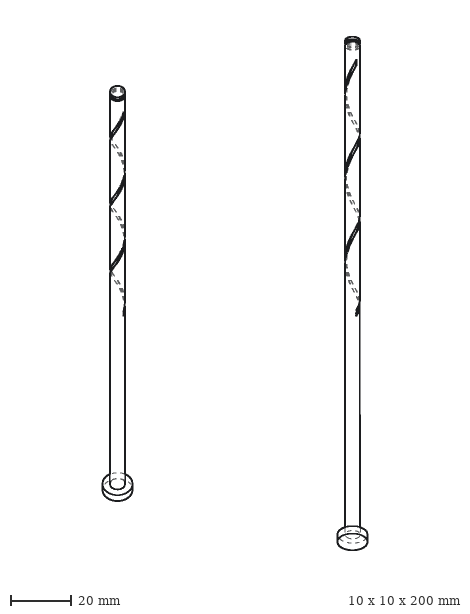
import cadquery as cq

total_length = 200.0
flange_diameter = 10.0
flange_thickness = 3.0
rod_diameter = 5.0
rod_radius = rod_diameter / 2

tip_thickness = 1.0
neck_length = 1.0
neck_diameter = 4.0

helix_turns = 3
helix_bottom = 90.0
helix_length = 100.0
helix_pitch = helix_length / helix_turns
helix_groove_depth = 0.5
helix_groove_height = 2.2


def make_rod():
    flange = cq.Workplane("XY").circle(flange_diameter / 2).extrude(flange_thickness)
    rod = cq.Workplane("XY").circle(rod_radius).extrude(total_length)
    return flange.union(rod)


def make_ring_groove():
    neck_bottom = total_length - tip_thickness - neck_length
    return (
        cq.Workplane("XY", origin=(0, 0, neck_bottom))
        .circle(flange_diameter / 2)
        .circle(neck_diameter / 2)
        .extrude(neck_length)
    )


def make_helical_groove():
    path = cq.Wire.makeHelix(helix_pitch, helix_length, rod_radius)
    cutter = (
        cq.Workplane("XZ", origin=(rod_radius, 0, 0))
        .rect(2 * helix_groove_depth, helix_groove_height)
        .sweep(cq.Workplane(path), isFrenet=True)
    )
    return cutter.translate((0, 0, helix_bottom))


result = make_rod().cut(make_ring_groove()).cut(make_helical_groove())